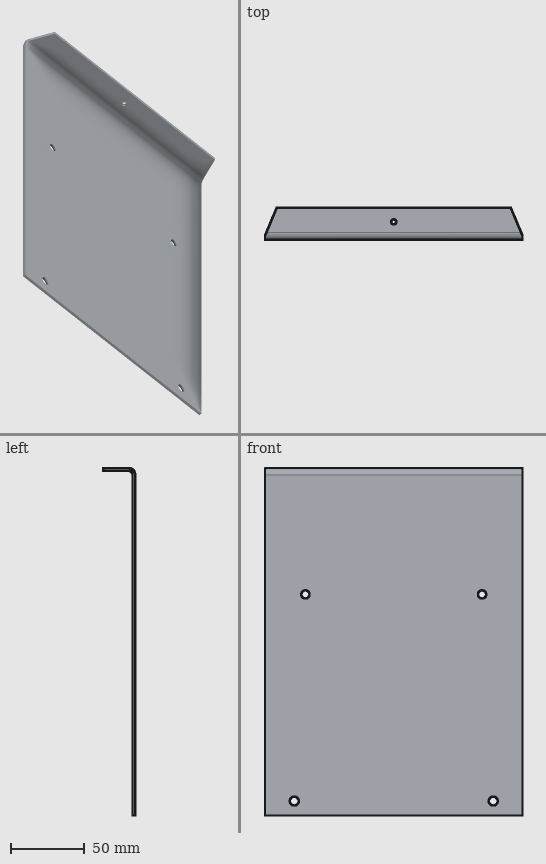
import cadquery as cq

width = 174.9
height = 236.0
depth = 22.0
thickness = 2.0
outer_bend_radius = 5.0
inner_bend_radius = outer_bend_radius - thickness

taper_inset = 8.0
taper_start = 2.8

upper_hole_diameter = 5.5
upper_hole_spacing = 120.0
upper_hole_height = 150.0
lower_hole_diameter = 6.0
lower_hole_spacing = 135.0
lower_hole_height = 10.0
flange_hole_diameter = 3.3
flange_hole_setback = 12.3

half_width = width / 2


def folded_sheet():
    """Sheet profile in the YZ plane, rounded at the fold and extruded across the width."""
    profile = (
        cq.Workplane("YZ")
        .moveTo(0, 0)
        .lineTo(0, height - outer_bend_radius)
        .radiusArc((outer_bend_radius, height), outer_bend_radius)
        .lineTo(depth, height)
        .lineTo(depth, height - thickness)
        .lineTo(outer_bend_radius, height - thickness)
        .radiusArc((thickness, height - outer_bend_radius), -inner_bend_radius)
        .lineTo(thickness, 0)
        .close()
    )
    return profile.extrude(half_width, both=True)


def plan_outline():
    """Full-height block with the plan outline that tapers the flange ends."""
    points = [
        (-half_width, 0),
        (half_width, 0),
        (half_width, taper_start),
        (half_width - taper_inset, depth),
        (-half_width + taper_inset, depth),
        (-half_width, taper_start),
    ]
    return cq.Workplane("XY").polyline(points).close().extrude(height)


def panel_hole_pair(diameter, spacing, hole_height):
    """Two cutters through the panel, symmetric about its centre line."""
    centres = [(-spacing / 2, hole_height), (spacing / 2, hole_height)]
    return cq.Workplane("XZ").pushPoints(centres).circle(diameter / 2).extrude(-thickness)


def flange_hole():
    """Cutter through the middle of the flange."""
    return (
        cq.Workplane("XY", origin=(0, flange_hole_setback, height))
        .circle(flange_hole_diameter / 2)
        .extrude(-thickness)
    )


result = (
    folded_sheet()
    .intersect(plan_outline())
    .cut(panel_hole_pair(upper_hole_diameter, upper_hole_spacing, upper_hole_height))
    .cut(panel_hole_pair(lower_hole_diameter, lower_hole_spacing, lower_hole_height))
    .cut(flange_hole())
)